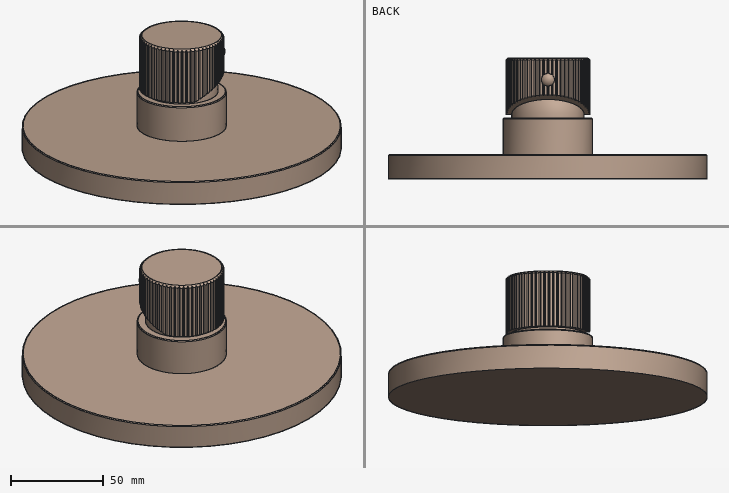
import cadquery as cq
import math

DISC_DIAMETER = 173.0
DISC_HEIGHT = 13.1
EDGE_BREAK = 0.5

COLLAR_RADIUS = 24.2
COLLAR_TOP = 33.0

NECK_RADIUS = 19.7
NECK_CENTRE = 33.9
KNOB_BOTTOM = 35.0

KNOB_RADIUS = 22.8
KNOB_TOP = 65.5
KNOB_CHAMFER = 1.2
RELIEF_ANGLE = 25.0

GROOVE_COUNT = 60
GROOVE_WIDTH = 1.0
GROOVE_DEPTH = 0.7

POINTER_RADIUS = 4.2
POINTER_REACH = 24.5
POINTER_HEIGHT = 53.8


def chamfered_cylinder(radius, bottom, top, chamfer):
    """Upright cylinder on the Z axis with a chamfered top rim."""
    body = cq.Workplane("XY").workplane(offset=bottom).circle(radius).extrude(top - bottom)
    return body.faces(">Z").edges().chamfer(chamfer)


def knurl_grooves():
    """V-shaped grooves running the full height of the knob, one of them facing +X."""
    outside = KNOB_RADIUS + GROOVE_DEPTH
    groove = (
        cq.Workplane("XY")
        .workplane(offset=KNOB_BOTTOM)
        .polyline([
            (KNOB_RADIUS - GROOVE_DEPTH, 0),
            (outside, GROOVE_WIDTH),
            (outside, -GROOVE_WIDTH),
        ])
        .close()
        .extrude(KNOB_TOP - KNOB_BOTTOM)
        .val()
    )
    pitch = 360 / GROOVE_COUNT
    grooves = [groove.rotate((0, 0, 0), (0, 0, 1), i * pitch) for i in range(GROOVE_COUNT)]
    return cq.Workplane(cq.Compound.makeCompound(grooves))


def underside_relief():
    """Wedge that slopes the knob's underside upward from the X axis toward +Y."""
    reach = POINTER_REACH
    rise = reach * math.tan(math.radians(RELIEF_ANGLE))
    return (
        cq.Workplane("YZ")
        .polyline([(0, KNOB_BOTTOM), (reach, KNOB_BOTTOM), (reach, KNOB_BOTTOM + rise)])
        .close()
        .extrude(reach, both=True)
    )


def ball_neck():
    """Ball centred just above the collar's top face, its lower half buried in the collar."""
    return cq.Workplane("XY").sphere(NECK_RADIUS).translate((0, 0, NECK_CENTRE))


def pointer_dome():
    """Ball set into the knob wall so that only a low dome stands out."""
    return cq.Workplane("XY").sphere(POINTER_RADIUS).translate(
        (0, POINTER_REACH - POINTER_RADIUS, POINTER_HEIGHT)
    )


disc = chamfered_cylinder(DISC_DIAMETER / 2, 0, DISC_HEIGHT, EDGE_BREAK)
collar = chamfered_cylinder(COLLAR_RADIUS, DISC_HEIGHT, COLLAR_TOP, EDGE_BREAK)
knob = (
    chamfered_cylinder(KNOB_RADIUS, KNOB_BOTTOM, KNOB_TOP, KNOB_CHAMFER)
    .cut(knurl_grooves())
    .cut(underside_relief())
    .union(pointer_dome())
)

result = disc.union(collar).union(ball_neck()).union(knob)